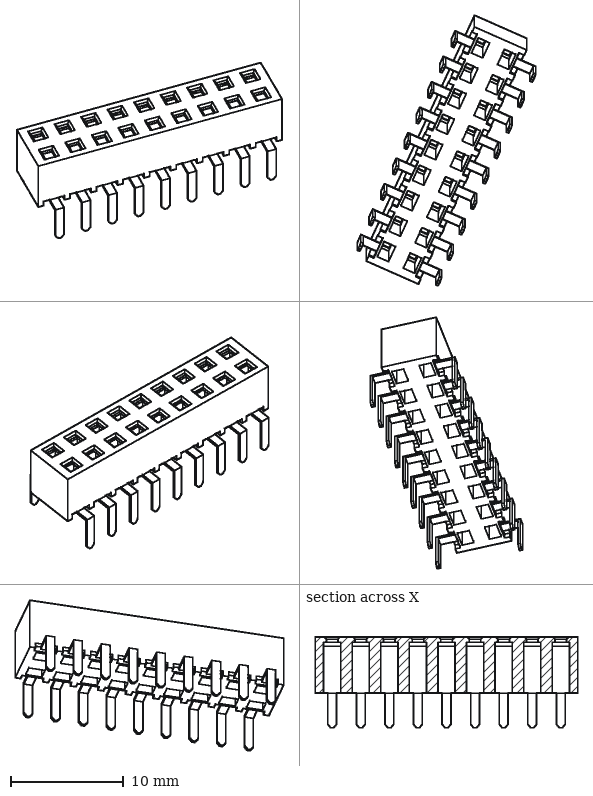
import cadquery as cq

ROWS = (-1, 1)
POSITIONS = 9
PITCH = 2.54

BODY_WIDTH = 5.1
BODY_LENGTH = 23.36
BODY_HEIGHT = 5.0

HOLE_SIZE = 1.0
MOUTH_TAPER = 0.2
LIP_HEIGHT = 0.3
CAVITY_CLEARANCE_X = 0.05
CAVITY_CLEARANCE_Y = 0.25
CAVITY_TOP = BODY_HEIGHT - MOUTH_TAPER - LIP_HEIGHT
CAVITY_LENGTH = HOLE_SIZE + 2 * CAVITY_CLEARANCE_Y

SHEET_THICKNESS = 0.23
LEG_SPAN = 7.87
LEG_WIDTH = 0.8
LEG_DROP = 3.1
TIP_HEIGHT = 0.32
TIP_WIDTH = 0.25
BLADE_GAP = 0.33
CONTACT_TOP = CAVITY_TOP - BLADE_GAP

NOTCH_LENGTH = 2.0
NOTCH_HEIGHT = 0.5

row_offset = PITCH / 2
hole_inner = row_offset - HOLE_SIZE / 2
hole_outer = row_offset + HOLE_SIZE / 2
cavity_inner = hole_inner - CAVITY_CLEARANCE_X
blade_inner = hole_outer + CAVITY_CLEARANCE_X
blade_outer = blade_inner + SHEET_THICKNESS
body_side = BODY_WIDTH / 2
leg_outer = LEG_SPAN / 2

row_length = (POSITIONS - 1) * PITCH
position_ys = [i * PITCH - row_length / 2 for i in range(POSITIONS)]


def block(side, x_near, x_far, y, length, z_low, z_high):
    """Box on one side of the body, between two distances from the centre plane."""
    center_x = side * (x_near + x_far) / 2
    return (
        cq.Workplane("XY", origin=(center_x, y, z_low))
        .rect(x_far - x_near, length)
        .extrude(z_high - z_low)
    )


def make_socket(side, y):
    """Empty space of one socket, including the notch for its leg."""
    mouth_size = HOLE_SIZE + 2 * MOUTH_TAPER
    mouth = (
        cq.Workplane("XY", origin=(side * row_offset, y, BODY_HEIGHT))
        .rect(mouth_size, mouth_size)
        .workplane(offset=-MOUTH_TAPER)
        .rect(HOLE_SIZE, HOLE_SIZE)
        .loft(ruled=True)
    )
    mouth_bottom = BODY_HEIGHT - MOUTH_TAPER
    hole = block(side, hole_inner, hole_outer, y, HOLE_SIZE, 0, mouth_bottom)
    cavity = block(side, cavity_inner, blade_outer, y, CAVITY_LENGTH, 0, CAVITY_TOP)
    notch = block(side, blade_outer, body_side, y, NOTCH_LENGTH, 0, NOTCH_HEIGHT)
    return mouth.union(hole).union(cavity).union(notch)


def make_leg(side, y):
    """Downward leg with a pointed tip, as wide as LEG_WIDTH along Y."""
    shoulder_z = -LEG_DROP + TIP_HEIGHT
    half_width = LEG_WIDTH / 2
    half_tip = TIP_WIDTH / 2
    return (
        cq.Workplane("YZ", origin=(side * leg_outer, y, 0))
        .polyline(
            [
                (-half_width, NOTCH_HEIGHT),
                (-half_width, shoulder_z),
                (-half_tip, -LEG_DROP),
                (half_tip, -LEG_DROP),
                (half_width, shoulder_z),
                (half_width, NOTCH_HEIGHT),
            ]
        )
        .close()
        .extrude(-side * SHEET_THICKNESS)
    )


def make_contact(side, y):
    """Blade, horizontal arm under the notch roof, and leg."""
    arm_bottom = NOTCH_HEIGHT - SHEET_THICKNESS
    blade = block(side, blade_inner, blade_outer, y, CAVITY_LENGTH, 0, CONTACT_TOP)
    arm = block(side, blade_inner, leg_outer, y, LEG_WIDTH, arm_bottom, NOTCH_HEIGHT)
    return blade.union(arm).union(make_leg(side, y))


body = cq.Workplane("XY").box(BODY_WIDTH, BODY_LENGTH, BODY_HEIGHT, centered=(True, True, False))
for row_side in ROWS:
    for position_y in position_ys:
        body = body.cut(make_socket(row_side, position_y))
        body = body.union(make_contact(row_side, position_y))

result = body